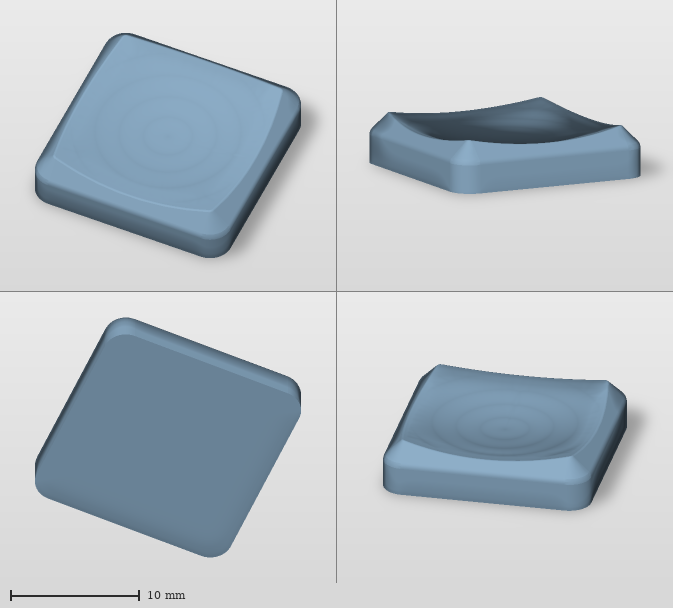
import cadquery as cq

side = 16.5
corner_radius = 1.75
shoulder_height = 2.49
bevel = 1.6
shoulder_round = 0.6
rim_round = 0.2
dish_radius = 27.39
dish_floor = 2.31

selection_margin = 0.02

blank_height = shoulder_height + bevel


def bevelled_block():
    """Square block with round corners and a 45 degree bevel around its top."""
    block = cq.Workplane("XY").rect(side, side).extrude(blank_height)
    block = block.edges("|Z").fillet(corner_radius)
    block = block.faces(">Z").chamfer(bevel)
    shoulder = cq.selectors.BoxSelector(
        (-side, -side, shoulder_height - selection_margin),
        (side, side, shoulder_height + selection_margin),
    )
    return block.edges(shoulder).fillet(shoulder_round)


def dish():
    """Sphere that hollows the top face."""
    return cq.Workplane("XY").sphere(dish_radius).translate((0, 0, dish_floor + dish_radius))


hollowed = bevelled_block().cut(dish())
dish_face = hollowed.faces(cq.selectors.NearestToPointSelector((0, 0, dish_floor)))
result = dish_face.edges().fillet(rim_round)